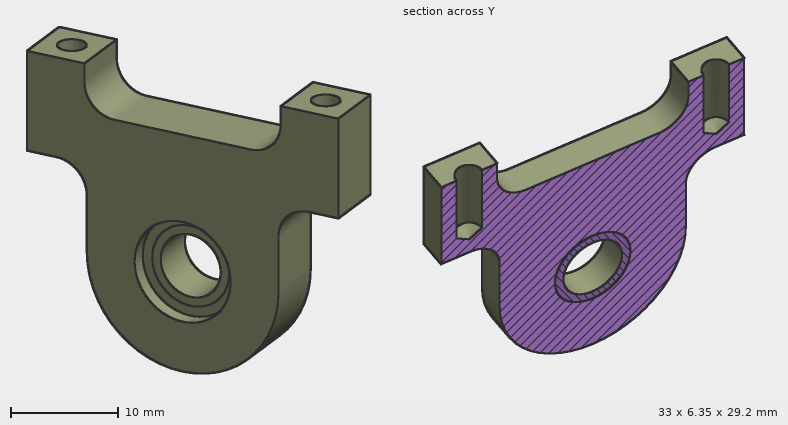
import cadquery as cq
import math

WIDTH = 33.02
THICKNESS = 6.35
HUB_RADIUS = 10.17
TOP_Z = 19.05

EAR_WIDTH = 6.1
EAR_HEIGHT = 10.17
SLOT_DEPTH = EAR_HEIGHT / 2
CORNER_RADIUS = 3.17

DRILL_DIAMETER = 2.75
DRILL_DEPTH = 7.6
DRILL_TIP_ANGLE = 118.0

RECESS_DIAMETER = 10.17
RECESS_DEPTH = 1.6
BUSHING_DIAMETER = 8.15
BORE_DIAMETER = 6.35

FRONT_Y = -THICKNESS / 2
BACK_Y = THICKNESS / 2
BUSHING_LENGTH = THICKNESS - RECESS_DEPTH


def cylinder_along_y(diameter, start_y, length):
    """Cylinder on the bore axis, running toward +Y from start_y."""
    axis = cq.Vector(0, 1, 0)
    return cq.Workplane(cq.Solid.makeCylinder(diameter / 2, length, cq.Vector(0, start_y, 0), axis))


def plate_blank():
    """Round-bottomed plate with two ears and concave corner arcs."""
    half_width = WIDTH / 2
    half_slot = half_width - EAR_WIDTH
    ear_bottom = TOP_Z - EAR_HEIGHT
    slot_floor = TOP_Z - SLOT_DEPTH
    r = CORNER_RADIUS
    return (
        cq.Workplane("XZ", origin=(0, BACK_Y, 0))
        .moveTo(-HUB_RADIUS, 0)
        .threePointArc((0, -HUB_RADIUS), (HUB_RADIUS, 0))
        .lineTo(HUB_RADIUS, ear_bottom - r)
        .radiusArc((HUB_RADIUS + r, ear_bottom), r)
        .lineTo(half_width, ear_bottom)
        .lineTo(half_width, TOP_Z)
        .lineTo(half_slot, TOP_Z)
        .lineTo(half_slot, slot_floor + r)
        .radiusArc((half_slot - r, slot_floor), r)
        .lineTo(-half_slot + r, slot_floor)
        .radiusArc((-half_slot, slot_floor + r), r)
        .lineTo(-half_slot, TOP_Z)
        .lineTo(-half_width, TOP_Z)
        .lineTo(-half_width, ear_bottom)
        .lineTo(-HUB_RADIUS - r, ear_bottom)
        .radiusArc((-HUB_RADIUS, ear_bottom - r), r)
        .close()
        .extrude(THICKNESS)
    )


def drill_tool(x):
    """Drilled-hole shape with a conical tip, going down from the ear top at x."""
    radius = DRILL_DIAMETER / 2
    tip_length = radius / math.tan(math.radians(DRILL_TIP_ANGLE / 2))
    return (
        cq.Workplane("XZ")
        .moveTo(0, 0)
        .lineTo(radius, 0)
        .lineTo(radius, -DRILL_DEPTH)
        .lineTo(0, -DRILL_DEPTH - tip_length)
        .close()
        .revolve(360, (0, 0, 0), (0, 1, 0))
        .translate((x, 0, TOP_Z))
    )


def make_housing():
    """Plate with the bushing seat, its front recess and the ear holes."""
    body = plate_blank()
    body = body.cut(cylinder_along_y(BUSHING_DIAMETER, FRONT_Y, THICKNESS))
    body = body.cut(cylinder_along_y(RECESS_DIAMETER, FRONT_Y, RECESS_DEPTH))
    ear_center = (WIDTH - EAR_WIDTH) / 2
    for side in (-1, 1):
        body = body.cut(drill_tool(side * ear_center))
    return body


def make_bushing():
    """Plain sleeve, flush with the recess floor and the back face."""
    recess_floor_y = FRONT_Y + RECESS_DEPTH
    sleeve = cylinder_along_y(BUSHING_DIAMETER, recess_floor_y, BUSHING_LENGTH)
    return sleeve.cut(cylinder_along_y(BORE_DIAMETER, recess_floor_y, BUSHING_LENGTH))


housing = make_housing()
bushing = make_bushing()

result = cq.Compound.makeCompound([housing.val(), bushing.val()])